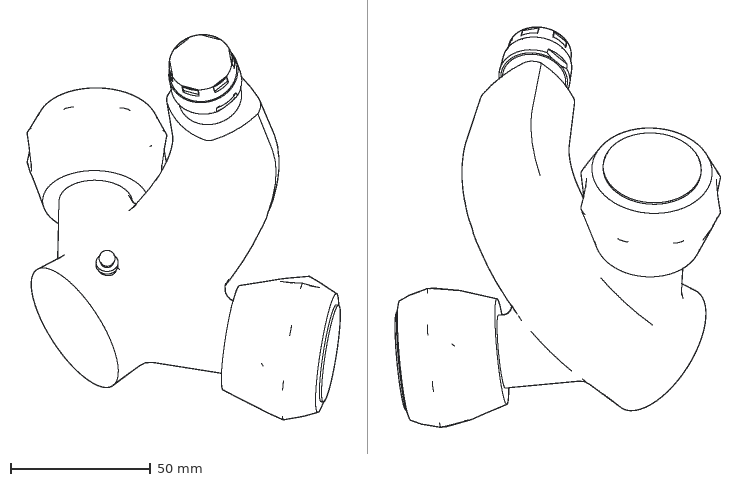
import cadquery as cq
import math

base_radius = 25.0
bend_y = 18.3
bend_centre_z = 50.0
spout_lean = 10.0
bend_angle = 90.0 + spout_lean
bend_steps = 5
spout_length = 25.6

bend_start = dict(r_in=26.9, r_out=74.0, half_side=23.7, half_in=16.5, half_out=16.5,
                  drop_in=6.7, drop_out=6.7, cut_in=1.0, cut_out=2.4, peak=1.0)
bend_end = dict(r_in=33.7, r_out=66.0, half_side=17.3, half_in=13.7, half_out=16.2,
                drop_in=4.6, drop_out=2.4, cut_in=1.5, cut_out=3.8, peak=0.45)
spout_end = dict(r_in=35.6, r_out=64.3, half_side=15.8, half_in=12.4, half_out=14.6,
                 drop_in=3.2, drop_out=1.9, cut_in=1.5, cut_out=3.5, peak=0.45)

arm_angle = 40.0
arm_root_y = 8.5
arm_radius = 13.2
arm_blend = 6.7
surface_tolerance = 0.02
arm_hidden = 9.5
knob_start = 50.8
knob_back_radius = 19.1
knob_radius = 26.7
knob_widest = 23.7
knob_rim_height = 35.0
knob_rim_radius = 21.6
knob_face_height = 35.6
cap_step_radius = 19.4
cap_radius = 17.7
cap_height = 36.5
cap_peak_height = 37.5
scallop_count = 8
scallop_radius = 20.7
scallop_floor_radius = 23.4
scallop_edge_fillet = 1.6

stub_radius = 5.1
stub_sink = 1.6
sleeve_start = 3.0
sleeve_radius = 11.5
collar_start = 12.4
collar_chamfer = 0.8
collar_radius = 12.9
collar_top_radius = 12.5
nozzle_start = 21.0
nozzle_radius = 12.1
nozzle_top_radius = 11.5
nozzle_top = 28.3
flat_offset = 12.0
flat_height = 3.2
cutter_depth = 3.2
window_count = 6
window_width = 6.2
window_height = 3.5
window_depth = 0.6
window_lip = 0.3

pull_y = 15.0
pull_foot_radius = 3.3
pull_disc_radius = 4.0
pull_disc_bottom = 25.3
pull_disc_top = 26.9
pull_ball_radius = 2.9
pull_ball_z = 29.5
pull_stem_radius = 2.2


def mix(first, last, part):
    """Section a given part of the way from the first one to the last."""
    return {key: first[key] + (last[key] - first[key]) * part for key in first}


def bulge(half_chord, height, offset):
    """Height above its chord of an arc, at an offset from the chord's middle."""
    radius = (half_chord**2 + height**2) / (2 * height)
    return math.sqrt(radius**2 - offset**2) - (radius - height)


def corner_points(s, half, y, crown_drop, cut, inward):
    """End on the face, middle, and end on the side of one rounded corner at +X."""
    half_depth = (s["r_out"] - s["drop_out"] - s["r_in"] - s["drop_in"]) / 2
    side_bulge = s["half_side"] - (s["half_in"] + s["half_out"]) / 2
    on_face = (half - cut, y - inward * bulge(half, crown_drop, half - cut))
    on_side = (half + bulge(half_depth, side_bulge, half_depth - cut), y + inward * cut)
    chord_x = (on_face[0] + on_side[0]) / 2
    chord_y = (on_face[1] + on_side[1]) / 2
    peak = (chord_x + s["peak"] * (half - chord_x), chord_y + s["peak"] * (y - chord_y))
    return on_face, peak, on_side


def body_section(plane, s):
    """Closed wire: local x is the width, local y the distance from the bend line."""
    y_in = s["r_in"] + s["drop_in"]
    y_out = s["r_out"] - s["drop_out"]
    in_face, in_peak, in_side = corner_points(s, s["half_in"], y_in, s["drop_in"], s["cut_in"], 1)
    out_face, out_peak, out_side = corner_points(s, s["half_out"], y_out, s["drop_out"], s["cut_out"], -1)
    middle = (y_in + y_out) / 2

    def mirrored(point):
        return (-point[0], point[1])

    return (
        cq.Workplane(plane)
        .moveTo(*mirrored(in_face))
        .threePointArc((0, s["r_in"]), in_face)
        .threePointArc(in_peak, in_side)
        .threePointArc((s["half_side"], middle), out_side)
        .threePointArc(out_peak, out_face)
        .threePointArc((0, s["r_out"]), mirrored(out_face))
        .threePointArc(mirrored(out_peak), mirrored(out_side))
        .threePointArc((-s["half_side"], middle), mirrored(in_side))
        .threePointArc(mirrored(in_peak), mirrored(in_face))
        .close()
        .val()
    )


def bend_plane(angle, advance=0.0):
    """Plane across the spout after turning by angle, moved along it by advance."""
    a = math.radians(angle)
    outward = (0, math.sin(a), -math.cos(a))
    along = (0, math.cos(a), math.sin(a))
    origin = (0, bend_y + advance * along[1], bend_centre_z + advance * along[2])
    normal = cq.Vector(1, 0, 0).cross(cq.Vector(*outward))
    return cq.Plane(origin=origin, xDir=(1, 0, 0), normal=normal.toTuple())


def loft(sections):
    return cq.Workplane(cq.Solid.makeLoft(sections))


def body():
    corner = base_radius * math.sqrt(0.5)
    drop = base_radius - corner
    base = dict(
        r_in=bend_centre_z - base_radius,
        r_out=bend_centre_z + base_radius,
        half_side=base_radius,
        half_in=corner,
        half_out=corner,
        drop_in=drop,
        drop_out=drop,
        cut_in=bend_start["cut_in"],
        cut_out=bend_start["cut_out"],
        peak=1.0,
    )
    mount = loft([
        body_section(bend_plane(0, -bend_y), base),
        body_section(bend_plane(0), bend_start),
    ])
    bend_sections = []
    for step in range(bend_steps + 1):
        part = step / bend_steps
        bend_sections.append(body_section(bend_plane(bend_angle * part), mix(bend_start, bend_end, part)))
    spout = loft([
        bend_sections[-1],
        body_section(bend_plane(bend_angle, spout_length), spout_end),
    ])
    return mount.union(loft(bend_sections)).union(spout)


def arm_plane(side):
    a = math.radians(arm_angle)
    return cq.Plane(
        origin=(0, arm_root_y, 0),
        xDir=(0, 0, 1),
        normal=(side * math.cos(a), math.sin(a), 0),
    )


def arm(side):
    """Arm on the -X (side = -1) or +X (side = 1) side."""
    return (
        cq.Workplane(arm_plane(side))
        .workplane(offset=arm_hidden)
        .circle(arm_radius)
        .extrude(knob_start - arm_hidden)
    )


def lies_on_arm(edge):
    """True when the whole edge lies on the round surface of an arm."""
    a = math.radians(arm_angle)
    for part in (0, 0.25, 0.5, 0.75, 1):
        point = edge.positionAt(part)
        across = (point.y - arm_root_y) * math.cos(a) - abs(point.x) * math.sin(a)
        if abs(math.hypot(across, point.z) - arm_radius) > surface_tolerance:
            return False
    return True


def blend_arms(shape):
    """Round the seams where the arms leave the body."""
    seams = [e for e in shape.edges().vals() if e.geomType() == "BSPLINE" and lies_on_arm(e)]
    return shape.newObject(seams).fillet(arm_blend)


def knob():
    """Knob standing on Z = 0 with its axis along Z."""
    turned = (
        cq.Workplane("XZ")
        .lineTo(knob_back_radius, 0)
        .lineTo(knob_radius, knob_widest)
        .lineTo(knob_rim_radius, knob_rim_height)
        .lineTo(cap_step_radius, knob_face_height)
        .lineTo(cap_radius, knob_face_height)
        .lineTo(cap_radius, cap_height)
        .lineTo(0, cap_peak_height)
        .close()
        .revolve(360, (0, 0, 0), (0, 1, 0))
    )
    scallops = (
        cq.Workplane("XY")
        .polarArray(scallop_floor_radius + scallop_radius, 0, 360, scallop_count)
        .circle(scallop_radius)
        .extrude(knob_rim_height, combine=False)
    )
    for scallop in scallops.vals():
        turned = turned.cut(cq.Workplane(scallop))
    rims = [edge for edge in turned.edges().vals() if edge.geomType() == "BSPLINE"]
    return turned.newObject(rims).fillet(scallop_edge_fillet)


def place(shape, plane, height=0.0):
    """Stand a shape on a plane, raised by height along the plane normal."""
    moved = cq.Plane(origin=plane.toWorldCoords((0, 0, height)), xDir=plane.xDir, normal=plane.zDir)
    return cq.Workplane(shape.val().moved(cq.Location(moved)))


def aerator():
    """Aerator standing on Z = 0; the wrench flats face -X and +X."""
    turned = (
        cq.Workplane("XZ")
        .moveTo(0, -stub_sink)
        .lineTo(stub_radius, -stub_sink)
        .lineTo(stub_radius, sleeve_start)
        .lineTo(sleeve_radius, sleeve_start)
        .lineTo(sleeve_radius, collar_start)
        .lineTo(collar_radius - collar_chamfer, collar_start)
        .lineTo(collar_radius, collar_start + collar_chamfer)
        .lineTo(collar_top_radius, nozzle_start)
        .lineTo(nozzle_radius, nozzle_start)
        .lineTo(nozzle_top_radius, nozzle_top)
        .lineTo(0, nozzle_top)
        .close()
        .revolve(360, (0, 0, 0), (0, 1, 0))
    )
    for side in (-1, 1):
        flat = cq.Workplane().box(
            cutter_depth, 2 * collar_radius, flat_height, centered=(True, True, False)
        )
        turned = turned.cut(flat.translate((side * (flat_offset + cutter_depth / 2), 0, collar_start)))
    window = (
        cq.Workplane()
        .box(cutter_depth, window_width, window_height)
        .translate((
            nozzle_top_radius - window_depth + cutter_depth / 2,
            0,
            nozzle_top - window_lip - window_height / 2,
        ))
    )
    for i in range(window_count):
        turned = turned.cut(window.rotate((0, 0, 0), (0, 0, 1), i * 360 / window_count))
    return turned


def pull_knob():
    """Stepped foot with a ball, standing on the top of the body."""
    return (
        cq.Workplane("XY")
        .circle(pull_foot_radius)
        .extrude(pull_disc_bottom)
        .faces(">Z").workplane().circle(pull_disc_radius).extrude(pull_disc_top - pull_disc_bottom)
        .faces(">Z").workplane().circle(pull_stem_radius).extrude(pull_ball_z - pull_disc_top)
        .union(cq.Workplane("XY").sphere(pull_ball_radius).translate((0, 0, pull_ball_z)))
        .translate((0, pull_y, 0))
    )


def spout_end_plane():
    """Plane across the spout end, centred on the end face."""
    middle = (spout_end["r_in"] + spout_end["r_out"]) / 2
    plane = bend_plane(bend_angle, spout_length)
    return cq.Plane(origin=plane.toWorldCoords((0, middle, 0)), xDir=(1, 0, 0), normal=plane.zDir)


result = body()
for side in (-1, 1):
    result = result.union(arm(side))
result = blend_arms(result)
knob_shape = knob()
for side in (-1, 1):
    result = result.union(place(knob_shape, arm_plane(side), knob_start))

result = result.union(place(aerator(), spout_end_plane())).union(pull_knob())